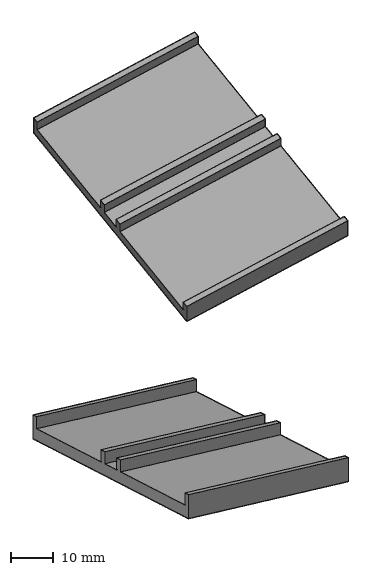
import cadquery as cq

length = 65.0
depth = 45.0
height = 6.0

base_thickness = height / 2
edge_wall_thickness = 1.5
rib_thickness = 1.6
rib_gap = 5.0


def upright(center_x, thickness):
    """Full-depth strip from the underside of the plate to the top of the part."""
    return (
        cq.Workplane("XY")
        .center(center_x, 0)
        .rect(thickness, depth)
        .extrude(height)
    )


result = cq.Workplane("XY").rect(length, depth).extrude(base_thickness)

edge_wall_x = (length - edge_wall_thickness) / 2
rib_x = (rib_gap + rib_thickness) / 2

for side in (-1, 1):
    result = result.union(upright(side * edge_wall_x, edge_wall_thickness))
    result = result.union(upright(side * rib_x, rib_thickness))